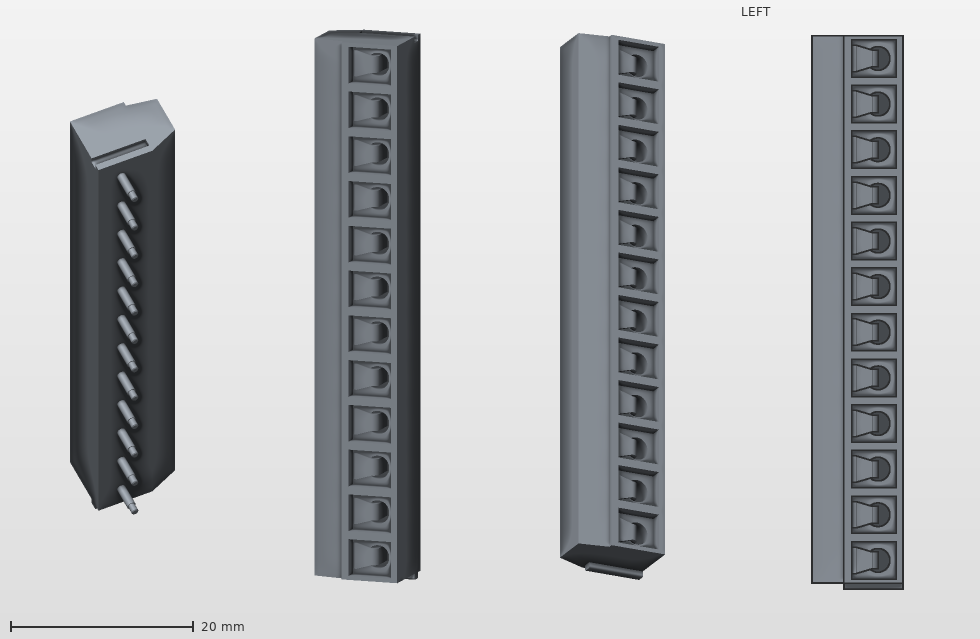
import cadquery as cq

POLES = 12
PITCH = 5.0
LENGTH = POLES * PITCH
FIRST_POLE_Z = PITCH / 2

DEPTH = 7.5
HEIGHT = 10.0
SHOULDER_HEIGHT = 6.5
SHOULDER_LEDGE = 0.55
ROOF_FRONT_X = 1.1
ROOF_REAR_X = 5.85

RIB_CENTRE_X = 6.2
RIB_HEIGHT = 0.68
RIB_NECK_WIDTH = 1.0
RIB_WIDTH = 1.15
RIB_ROUND = 0.2

POCKET_BOTTOM_Y = 0.75
POCKET_TOP_Y = 5.65
POCKET_WIDTH = 4.1
POCKET_DEPTH = 1.45
HOLE_CENTRE_Y = 2.75
HOLE_RADIUS = 1.3
HOLE_DEPTH = 3.0

SPRING_THICKNESS = 0.3
SPRING_TAIL_RUN = 0.5
SPRING_BEND_RUN = 0.7
SPRING_BEND_DROP = 0.5
SPRING_END_Y = 2.7
SPRING_WIDE = 2.9
SPRING_NARROW = 1.85

PIN_CENTRE_Y = 2.75
PIN_DIAMETER = 1.0
PIN_LENGTH = 2.7
TIP_DIAMETER = 0.8
TIP_LENGTH = 1.0
TIP_CHAMFER = 0.1
PIN_EMBED = 0.5


def make_housing():
    outline = [
        (0, 0),
        (DEPTH, 0),
        (DEPTH, SHOULDER_HEIGHT),
        (ROOF_REAR_X, HEIGHT),
        (ROOF_FRONT_X, HEIGHT),
        (SHOULDER_LEDGE, SHOULDER_HEIGHT),
        (0, SHOULDER_HEIGHT),
    ]
    return cq.Workplane("XY").polyline(outline).close().extrude(LENGTH)


def make_rib(root_z):
    """Bar along Y that hangs down from root_z, slightly dovetailed with rounded lower edges."""
    half_neck = RIB_NECK_WIDTH / 2
    half_width = RIB_WIDTH / 2
    half_tip = half_width - RIB_ROUND
    tip_z = root_z - RIB_HEIGHT
    round_z = tip_z + RIB_ROUND
    return (
        cq.Workplane("XZ")
        .moveTo(RIB_CENTRE_X + half_neck, root_z)
        .lineTo(RIB_CENTRE_X + half_width, round_z)
        .radiusArc((RIB_CENTRE_X + half_tip, tip_z), RIB_ROUND)
        .lineTo(RIB_CENTRE_X - half_tip, tip_z)
        .radiusArc((RIB_CENTRE_X - half_width, round_z), RIB_ROUND)
        .lineTo(RIB_CENTRE_X - half_neck, root_z)
        .close()
        .extrude(-SHOULDER_HEIGHT)
    )


def make_opening(z):
    """Pocket and round hole of one pole, as the volume to remove."""
    pocket = (
        cq.Workplane("XY")
        .box(POCKET_DEPTH, POCKET_TOP_Y - POCKET_BOTTOM_Y, POCKET_WIDTH, centered=(False, False, True))
        .translate((0, POCKET_BOTTOM_Y, z))
    )
    hole = cq.Workplane("YZ", origin=(POCKET_DEPTH, HOLE_CENTRE_Y, z)).circle(HOLE_RADIUS).extrude(HOLE_DEPTH)
    return pocket.union(hole)


def tangent_arc_radius(run, drop):
    """Radius of an arc that leaves a line tangentially and falls away by drop over run."""
    return (run**2 + drop**2) / (2 * drop)


def make_spring(z):
    """Tapered spring leaf: rounded down to the floor at the wall and down into the hole."""
    top_x = POCKET_DEPTH - SPRING_THICKNESS
    root_x = POCKET_DEPTH + HOLE_DEPTH
    bend_y = SPRING_END_Y + SPRING_BEND_RUN
    tail_y = POCKET_TOP_Y - SPRING_TAIL_RUN
    bend_radius = tangent_arc_radius(SPRING_BEND_RUN, SPRING_BEND_DROP)
    tail_radius = tangent_arc_radius(SPRING_TAIL_RUN, SPRING_THICKNESS)
    side = (
        cq.Workplane("XY", origin=(0, 0, z))
        .moveTo(root_x, SPRING_END_Y)
        .lineTo(top_x + SPRING_BEND_DROP, SPRING_END_Y)
        .radiusArc((top_x, bend_y), bend_radius)
        .lineTo(top_x, tail_y)
        .radiusArc((POCKET_DEPTH, POCKET_TOP_Y), tail_radius)
        .lineTo(root_x, POCKET_TOP_Y)
        .close()
        .extrude(SPRING_WIDE / 2, both=True)
    )
    plan = [
        (SPRING_END_Y, -SPRING_NARROW / 2),
        (bend_y, -SPRING_NARROW / 2),
        (tail_y, -SPRING_WIDE / 2),
        (POCKET_TOP_Y, -SPRING_WIDE / 2),
        (POCKET_TOP_Y, SPRING_WIDE / 2),
        (tail_y, SPRING_WIDE / 2),
        (bend_y, SPRING_NARROW / 2),
        (SPRING_END_Y, SPRING_NARROW / 2),
    ]
    leaf = cq.Workplane("YZ", origin=(0, 0, z)).polyline(plan).close().extrude(root_x)
    return side.intersect(leaf)


def make_pin(z):
    shank = (
        cq.Workplane("YZ", origin=(DEPTH - PIN_EMBED, PIN_CENTRE_Y, z))
        .circle(PIN_DIAMETER / 2)
        .extrude(PIN_EMBED + PIN_LENGTH)
    )
    tip = (
        cq.Workplane("YZ", origin=(DEPTH + PIN_LENGTH, PIN_CENTRE_Y, z))
        .circle(TIP_DIAMETER / 2)
        .extrude(TIP_LENGTH)
        .faces(">X")
        .chamfer(TIP_CHAMFER)
    )
    return shank.union(tip)


result = make_housing()
result = result.union(make_rib(0))
result = result.cut(make_rib(LENGTH))
for pole in range(POLES):
    pole_z = FIRST_POLE_Z + pole * PITCH
    result = result.cut(make_opening(pole_z))
    result = result.union(make_spring(pole_z))
    result = result.union(make_pin(pole_z))